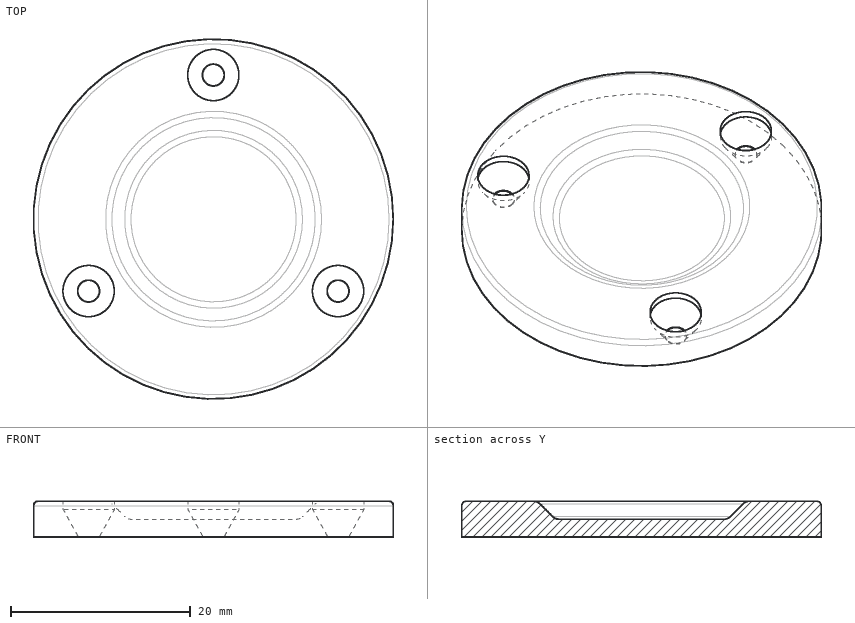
import cadquery as cq
import math

plate_diameter = 40.0
plate_thickness = 4.0
rim_fillet = 0.5

recess_mouth_radius = 12.0
recess_depth = 2.0
recess_wall_angle = 45.0
recess_fillet = 1.0

hole_count = 3
hole_circle_radius = 16.0
first_hole_angle = 90.0
screw_diameter = 2.4
head_diameter = 5.7
head_recess_depth = 0.9
cone_depth = 3.0

wall_slope = math.radians(recess_wall_angle)
lip_setback = recess_fillet * math.tan(wall_slope / 2)
recess_top_radius = recess_mouth_radius - lip_setback
recess_floor_radius = recess_top_radius - recess_depth / math.tan(wall_slope)
recess_floor_z = plate_thickness - recess_depth


def make_plate():
    """Plain disc, rounded along its top rim."""
    disc = cq.Workplane("XY").circle(plate_diameter / 2).extrude(plate_thickness)
    return disc.faces(">Z").edges().fillet(rim_fillet)


def cut_recess(body):
    """Cut the conical recess, then round its lip and its floor edge."""
    cutter = (
        cq.Workplane("XZ")
        .moveTo(0, recess_floor_z)
        .lineTo(recess_floor_radius, recess_floor_z)
        .lineTo(recess_top_radius, plate_thickness)
        .lineTo(0, plate_thickness)
        .close()
        .revolve(360, (0, 0, 0), (0, 1, 0))
    )
    body = body.cut(cutter)
    lip_and_floor = cq.selectors.BoxSelector(
        (-recess_mouth_radius, -recess_mouth_radius, recess_floor_z / 2),
        (recess_mouth_radius, recess_mouth_radius, plate_thickness + recess_depth),
        boundingbox=True,
    )
    return body.edges(lip_and_floor).fillet(recess_fillet)


def make_screw_cutter():
    """Through hole, cone and straight head recess as one turned shape on the Z axis."""
    cone_top_z = plate_thickness - head_recess_depth
    return (
        cq.Workplane("XZ")
        .lineTo(screw_diameter / 2, 0)
        .lineTo(screw_diameter / 2, cone_top_z - cone_depth)
        .lineTo(head_diameter / 2, cone_top_z)
        .lineTo(head_diameter / 2, plate_thickness)
        .lineTo(0, plate_thickness)
        .close()
        .revolve(360, (0, 0, 0), (0, 1, 0))
    )


def cut_screw_holes(body):
    """Cut the screw holes, evenly spaced around the plate."""
    cutter = make_screw_cutter()
    for index in range(hole_count):
        angle = math.radians(first_hole_angle + index * 360 / hole_count)
        x = hole_circle_radius * math.cos(angle)
        y = hole_circle_radius * math.sin(angle)
        body = body.cut(cutter.translate((x, y, 0)))
    return body


result = cut_screw_holes(cut_recess(make_plate()))